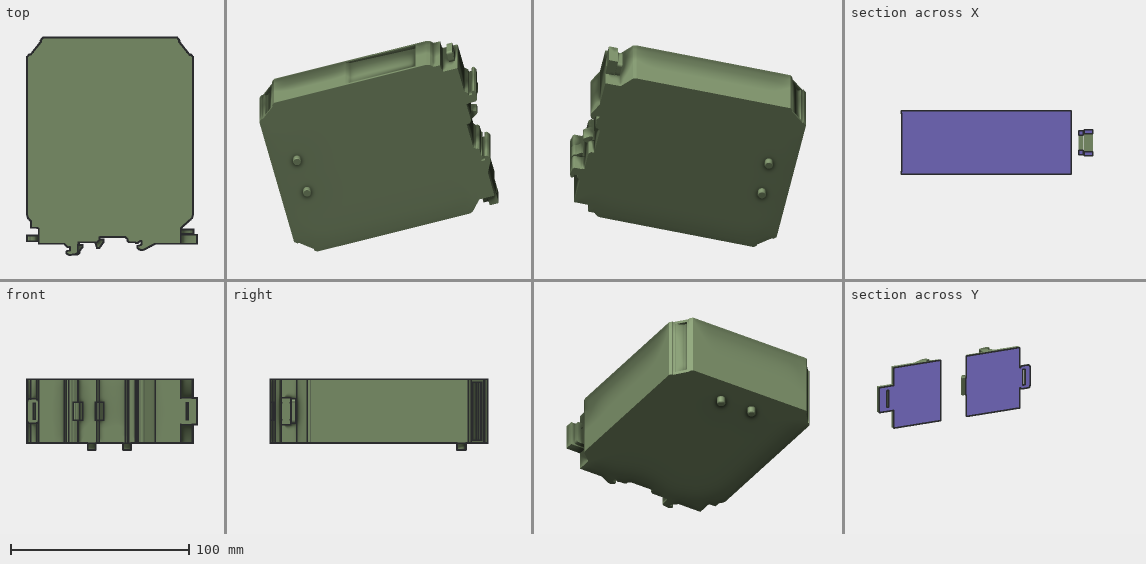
import cadquery as cq

body_width = 93.3
body_top = 116.0
body_thick = 36.0
mid_z = body_thick / 2

overlap = 1.0

left_shoulder_x = 6.5
left_ledge_x = 2.2
left_ledge_y = 9.0
left_ledge_top = 12.7
ledge_bevel_x = 1.0
ledge_bevel_y = 0.4
right_shoulder_x = 86.4
right_shoulder_y = 8.8
flank_start_y = 16.3
flank_break_x = 0.5
flank_break_y = 14.5

corner_width = 9.0
corner_height = 11.0
band_upper_outer = (7.5, 1.8)
band_upper_inner = (8.0, 2.2)
band_lower_inner = (1.9, 9.8)
band_lower_outer = (1.4, 9.4)

rail_y = 0.86
rail_left_x = 28.9
rail_right_x = 57.2
slot_y = 3.87
slot_left_x = 40.6
slot_right_x = 56.4
slot_bevel = 1.2

hook_bottom = -6.27
hook_tip_x = 22.0
right_hook_bottom = -3.5
right_hook_tip_x = 61.9
right_hook_end_x = 72.0

tab_height = 10.2
tab_neck_offset = 0.4
hook_tab_end_x = 31.4
hook_tab_top = -0.5
slot_tab_start_x = 38.3
slot_tab_end_x = 43.0
slot_tab_top = 2.6

lug_height = 13.8
lug_corner_radius = 1.5
left_lug_y = (1.5, 4.8)
upper_lug_y = (5.5, 8.2)
upper_lug_end_x = 93.6
foot_lug_end_x = 95.5
foot_lug_y = (0.0, 5.2)
foot_lug_height = 15.0
lug_slot_width = 1.2
left_slot_height = 9.0
upper_slot_height = 8.0
foot_slot_height = 9.7
left_slot_x = 4.1
right_slot_x = 90.1

recess_y_low = 22.8
recess_y_high = 63.4
recess_slope_length = 2.6
recess_depth_high = 1.05
recess_depth_low = 2.1
recess_margin = 2.0

pocket_start = 3.4
pocket_end = 8.6
pocket_floor_x = 7.8
pocket_margin = 1.7

pin_diameter = 4.7
pin_length = 4.0
pin_chamfer = 0.4
pin_centers = [(36.4, 101.4), (56.2, 100.9)]


def mirrored_x(x):
    return body_width - x


def corner_points():
    """Upper left bevel from the left wall up to the top edge."""
    depth_points = [band_lower_outer, band_lower_inner, band_upper_inner, band_upper_outer]
    points = [(0, body_top - corner_height)]
    points += [(x, body_top - depth) for x, depth in depth_points]
    points.append((corner_width, body_top))
    return points


def make_body():
    left_corner = corner_points()
    right_corner = [(mirrored_x(x), y) for x, y in left_corner]
    outline = cq.Workplane("XY").moveTo(left_shoulder_x, 0)
    outline = (
        outline.lineTo(21.0, 0)
        .lineTo(22.9, -2.0)
        .lineTo(24.1, -1.8)
        .lineTo(24.1, -3.8)
        .lineTo(22.7, -3.8)
        .lineTo(hook_tip_x, -4.4)
        .lineTo(hook_tip_x, -5.3)
        .lineTo(23.4, -6.2)
        .threePointArc((24.2, hook_bottom), (25.1, -6.15))
        .lineTo(26.8, -5.8)
        .threePointArc((27.8, -5.5), (28.6, -4.7))
        .lineTo(28.6, -0.4)
        .lineTo(rail_left_x, -0.4)
    )
    outline = (
        outline.lineTo(rail_left_x, rail_y)
        .lineTo(39.2, rail_y)
        .lineTo(slot_left_x, 2.1)
        .lineTo(slot_left_x, slot_y)
        .lineTo(slot_right_x - slot_bevel, slot_y)
        .lineTo(slot_right_x, slot_y - slot_bevel)
        .lineTo(slot_right_x, 1.9)
        .lineTo(rail_right_x, rail_y)
    )
    outline = (
        outline.lineTo(60.9, rail_y)
        .lineTo(61.2, 0.4)
        .lineTo(62.1, 0.4)
        .lineTo(63.6, 1.6)
        .lineTo(64.3, 1.6)
        .lineTo(64.3, -0.4)
        .lineTo(62.9, -0.9)
        .lineTo(right_hook_tip_x, -0.9)
        .lineTo(right_hook_tip_x, -2.1)
        .lineTo(62.5, -2.8)
        .lineTo(63.4, -3.3)
        .threePointArc((64.4, right_hook_bottom), (65.6, -3.3))
        .lineTo(right_hook_end_x, 0)
    )
    outline = (
        outline.lineTo(right_shoulder_x, 0)
        .lineTo(right_shoulder_x, right_shoulder_y)
        .lineTo(mirrored_x(flank_break_x), flank_break_y)
        .lineTo(body_width, flank_start_y)
    )
    for point in right_corner + list(reversed(left_corner)):
        outline = outline.lineTo(*point)
    outline = (
        outline.lineTo(0, flank_start_y)
        .lineTo(flank_break_x, flank_break_y)
        .lineTo(left_ledge_x, left_ledge_top)
        .lineTo(left_ledge_x, left_ledge_y)
        .lineTo(left_shoulder_x - ledge_bevel_x, left_ledge_y)
        .lineTo(left_shoulder_x, left_ledge_y - ledge_bevel_y)
        .close()
    )
    return outline.extrude(body_thick)


def centered_prism(points, height):
    """Prism along Z, centered on the middle of the housing thickness."""
    return cq.Workplane("XY").workplane(offset=mid_z - height / 2).polyline(points).close().extrude(height)


def block(x_range, y_range, height):
    size = (x_range[1] - x_range[0], y_range[1] - y_range[0], height)
    center = (sum(x_range) / 2, sum(y_range) / 2, mid_z)
    return cq.Workplane("XY").box(*size).translate(center)


def make_hook_tab():
    """Spring tab behind the left hook, with a neck up to the rail recess."""
    neck_x = rail_left_x + tab_neck_offset
    root_y = rail_y + overlap
    return (
        cq.Workplane("XY")
        .workplane(offset=mid_z - tab_height / 2)
        .moveTo(25.1, -5.8)
        .lineTo(27.2, -6.2)
        .threePointArc((28.8, -5.7), (29.6, -4.7))
        .lineTo(29.6, -3.9)
        .lineTo(hook_tab_end_x, -1.6)
        .lineTo(hook_tab_end_x, hook_tab_top)
        .lineTo(neck_x, hook_tab_top)
        .lineTo(neck_x, root_y)
        .lineTo(27.2, root_y)
        .close()
        .extrude(tab_height)
    )


def make_slot_tab():
    """Spring tab at the left edge of the deep slot."""
    neck_x = slot_left_x + tab_neck_offset
    root_y = slot_y + overlap
    return centered_prism(
        [
            (slot_tab_start_x, rail_y),
            (39.3, -2.3),
            (40.7, -2.3),
            (slot_tab_end_x, 1.0),
            (slot_tab_end_x, slot_tab_top),
            (neck_x, slot_tab_top),
            (neck_x, root_y),
            (slot_tab_start_x, root_y),
        ],
        tab_height,
    )


def make_lugs():
    left_lug = block((0, left_shoulder_x), left_lug_y, lug_height).edges("|Y").fillet(lug_corner_radius)
    upper_lug = block((right_shoulder_x - overlap, upper_lug_end_x), upper_lug_y, lug_height)
    upper_lug = upper_lug.edges("|Y and >X").fillet(lug_corner_radius)
    foot_lug = block((right_shoulder_x - overlap, foot_lug_end_x), foot_lug_y, foot_lug_height)
    lugs = [
        (left_lug, left_slot_x, left_lug_y, left_slot_height),
        (upper_lug, right_slot_x, upper_lug_y, upper_slot_height),
        (foot_lug, right_slot_x, foot_lug_y, foot_slot_height),
    ]
    slotted = []
    for lug, slot_x, y_range, slot_height in lugs:
        slot_range = (slot_x - lug_slot_width / 2, slot_x + lug_slot_width / 2)
        slotted.append(lug.cut(block(slot_range, y_range, slot_height)))
    return slotted


def make_wall_recess():
    """Shallow recess in the left wall with a tapered floor and a sloped upper end."""
    return centered_prism(
        [
            (0, recess_y_high),
            (recess_depth_high, recess_y_high - recess_slope_length),
            (recess_depth_low, recess_y_low),
            (0, recess_y_low),
        ],
        body_thick - 2 * recess_margin,
    )


def make_corner_pocket():
    """Pocket in the sunken band of the upper left bevel."""
    profile = [
        (0, pocket_start),
        (7.0, pocket_start),
        (pocket_floor_x, 4.4),
        (pocket_floor_x, 5.3),
        (6.9, 6.4),
        (2.9, pocket_end),
        (0, pocket_end),
    ]
    return centered_prism([(x, body_top - depth) for x, depth in profile], body_thick - 2 * pocket_margin)


def make_pin(center):
    pin = cq.Workplane("XY").center(*center).circle(pin_diameter / 2).extrude(-pin_length)
    return pin.faces("<Z").chamfer(pin_chamfer)


pocket = make_corner_pocket()
opposite_pocket = pocket.mirror("YZ").translate((body_width, 0, 0))

result = make_body().cut(make_wall_recess()).cut(pocket).cut(opposite_pocket)
for feature in [make_hook_tab(), make_slot_tab()] + make_lugs():
    result = result.union(feature)
for pin_center in pin_centers:
    result = result.union(make_pin(pin_center))